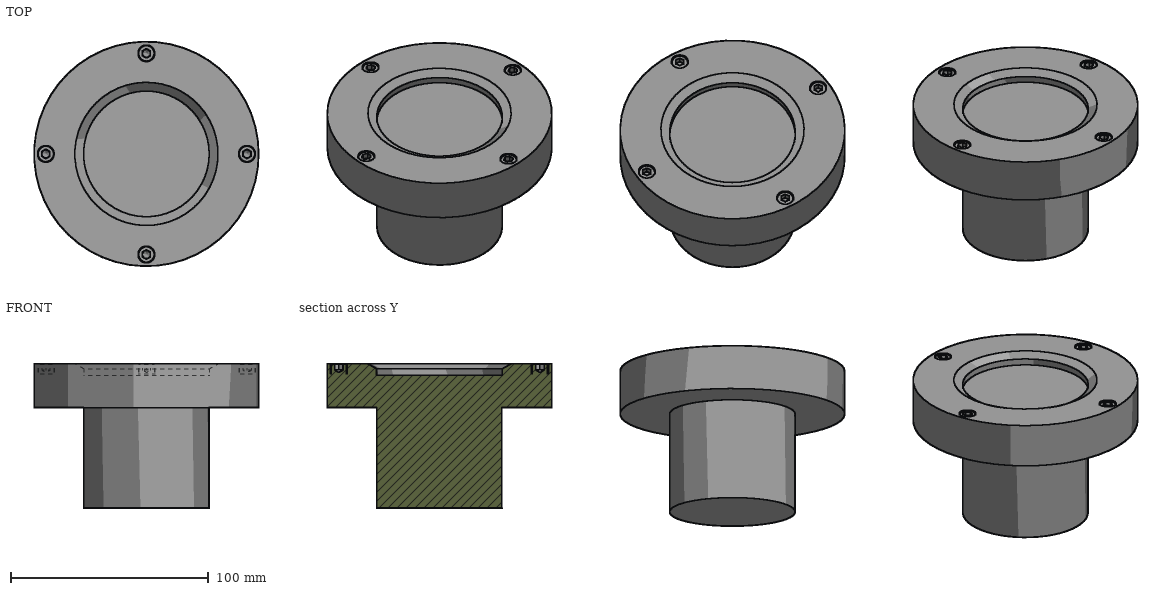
import cadquery as cq
import math

total_height = 73.0
flange_diameter = 113.5
flange_thickness = 22.3
barrel_diameter = 63.5

window_diameter = barrel_diameter
mouth_diameter = 72.3
mouth_depth = 2.5
window_depth = 5.8

screw_count = 4
screw_circle_diameter = 101.6
counterbore_diameter = 8.4
counterbore_depth = 5.0
head_diameter = 7.8
head_fillet = 0.5
head_recess = 0.2
socket_flats = 4.1
socket_depth = 3.2
socket_tip_depth = 1.1
hex_corners_per_flats = 2 / math.sqrt(3)


def flanged_body():
    """Barrel standing on Z = 0 with the flange flush with the top."""
    barrel = cq.Workplane("XY").circle(barrel_diameter / 2).extrude(total_height)
    flange = (
        cq.Workplane("XY", origin=(0, 0, total_height))
        .circle(flange_diameter / 2)
        .extrude(-flange_thickness)
    )
    return barrel.union(flange)


def window_recess():
    """Cutter for the recess, revolved about the Z axis."""
    return (
        cq.Workplane("XZ")
        .moveTo(0, total_height)
        .lineTo(mouth_diameter / 2, total_height)
        .lineTo(window_diameter / 2, total_height - mouth_depth)
        .lineTo(window_diameter / 2, total_height - window_depth)
        .lineTo(0, total_height - window_depth)
        .close()
        .revolve(360, (0, 0, 0), (0, 1, 0))
    )


def screw_pocket():
    """Cutter on the Z axis: the counterbore less the screw head, plus its socket."""
    counterbore = (
        cq.Workplane("XY", origin=(0, 0, total_height))
        .circle(counterbore_diameter / 2)
        .extrude(-counterbore_depth)
    )
    head = (
        cq.Workplane("XY", origin=(0, 0, total_height - counterbore_depth))
        .circle(head_diameter / 2)
        .extrude(counterbore_depth - head_recess)
        .faces(">Z")
        .fillet(head_fillet)
    )
    socket = (
        cq.Workplane("XY", origin=(0, 0, total_height))
        .transformed(rotate=(0, 0, 90))
        .polygon(6, socket_flats * hex_corners_per_flats)
        .extrude(-socket_depth)
    )
    tip_base_z = total_height - socket_depth
    socket_tip = (
        cq.Workplane("XZ")
        .moveTo(0, tip_base_z)
        .lineTo(socket_flats / 2, tip_base_z)
        .lineTo(0, tip_base_z - socket_tip_depth)
        .close()
        .revolve(360, (0, 0, 0), (0, 1, 0))
    )
    return counterbore.cut(head).union(socket).union(socket_tip)


result = flanged_body().cut(window_recess())

pocket = screw_pocket()
for index in range(screw_count):
    angle = index * 2 * math.pi / screw_count
    x = screw_circle_diameter / 2 * math.cos(angle)
    y = screw_circle_diameter / 2 * math.sin(angle)
    result = result.cut(pocket.translate((x, y, 0)))